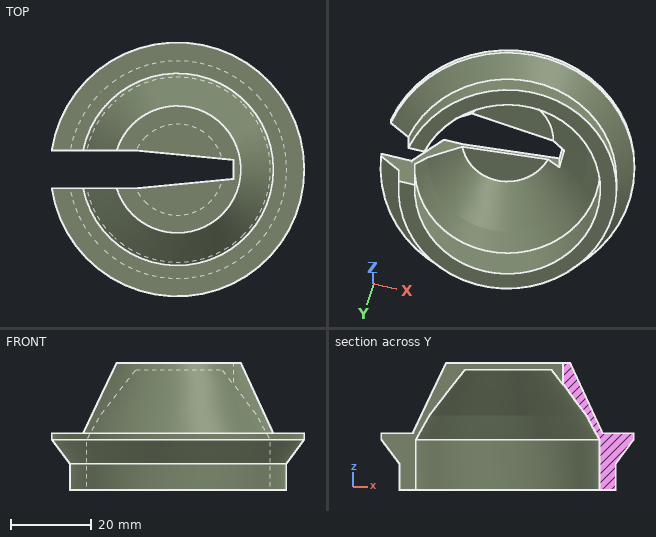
import cadquery as cq

total_height = 31.8
rim_height = 6.5
flange_thickness = 1.6
cone_height = 17.55
flange_top = total_height - cone_height
flange_bottom = flange_top - flange_thickness

rim_radius = 27.2
flange_radius = 31.7
cone_base_radius = 24.0
cone_top_radius = 15.85

roof_thickness = 1.7
cavity_roof_radius = 11.4
cavity_middle_radius = 19.9
cavity_mouth_radius = 23.15
cavity_roof_height = total_height - roof_thickness
cavity_middle_height = 18.6
cavity_straight_height = flange_bottom

slot_half_width = 4.7
slot_end_half_width = 2.35
taper_start_x = -10.35
slot_end_x = 14.0


def revolve_profile(points):
    """Turn a closed (radius, height) outline about the Z axis."""
    return cq.Workplane("XZ").polyline(points).close().revolve(360, (0, 0), (0, 1))


body = revolve_profile([
    (0, 0),
    (rim_radius, 0),
    (rim_radius, rim_height),
    (flange_radius, flange_bottom),
    (flange_radius, flange_top),
    (cone_base_radius, flange_top),
    (cone_top_radius, total_height),
    (0, total_height),
])

cavity = revolve_profile([
    (0, 0),
    (cavity_mouth_radius, 0),
    (cavity_mouth_radius, cavity_straight_height),
    (cavity_middle_radius, cavity_middle_height),
    (cavity_roof_radius, cavity_roof_height),
    (0, cavity_roof_height),
])

slot = (
    cq.Workplane("XY")
    .polyline([
        (-flange_radius, -slot_half_width),
        (taper_start_x, -slot_half_width),
        (slot_end_x, -slot_end_half_width),
        (slot_end_x, slot_end_half_width),
        (taper_start_x, slot_half_width),
        (-flange_radius, slot_half_width),
    ])
    .close()
    .extrude(total_height)
)

result = body.cut(cavity).cut(slot)